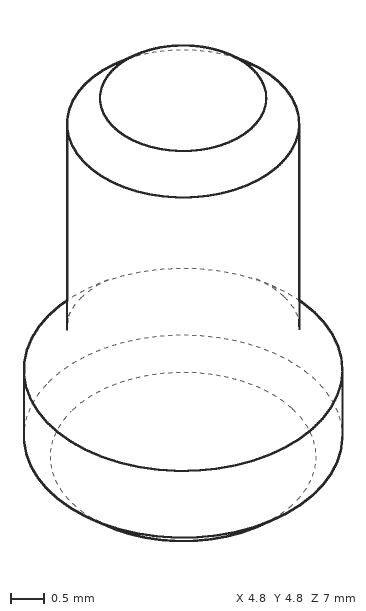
import cadquery as cq
import math

total_height = 7.0
head_radius = 2.4
shank_radius = 1.75
tip_chamfer = 0.5
base_chamfer = 0.4
shoulder_z = 1.7
neck_fillet_radius = 0.5

cone_angle = math.radians(45)
cone_meets_shank_z = shoulder_z + (head_radius - shank_radius) * math.tan(cone_angle)
fillet_top_z = cone_meets_shank_z + neck_fillet_radius * math.tan(cone_angle / 2)
fillet_center_r = shank_radius + neck_fillet_radius


def fillet_point(angle):
    """Point on the neck fillet, at an angle below its tangent point on the shank."""
    return (
        fillet_center_r - neck_fillet_radius * math.cos(angle),
        fillet_top_z - neck_fillet_radius * math.sin(angle),
    )


half_section = (
    cq.Workplane("XZ")
    .moveTo(0, 0)
    .lineTo(head_radius - base_chamfer, 0)
    .lineTo(head_radius, base_chamfer)
    .lineTo(head_radius, shoulder_z)
    .lineTo(*fillet_point(cone_angle))
    .threePointArc(fillet_point(cone_angle / 2), fillet_point(0))
    .lineTo(shank_radius, total_height - tip_chamfer)
    .lineTo(shank_radius - tip_chamfer, total_height)
    .lineTo(0, total_height)
    .close()
)

result = half_section.revolve(360, (0, 0, 0), (0, 1, 0))